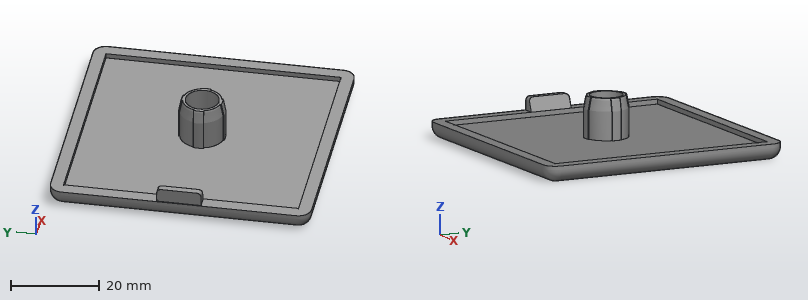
import cadquery as cq

side = 60.0
edge_radius = 3.0
straight_rim_height = 0.95
plate_height = edge_radius + straight_rim_height

border_width = 3.0
recess_depth = 1.15
recess_side = side - 2 * border_width
floor_z = plate_height - recess_depth

total_height = 12.5
peg_radius = 5.1
bore_radius = 3.85
taper_height = 3.0
taper_inset = 0.5
lip_height = 0.5
lip_inset = 0.2
rib_projection = 0.25
rib_width = 2.35

clip_width = 10.2
clip_height = 3.25
clip_inset = 0.25
clip_base_depth = border_width - clip_inset
clip_top_depth = 1.55
clip_corner_radius = 1.0


def make_plate():
    """Plate with rounded corners and lower edges, recessed on top."""
    plate = cq.Workplane("XY").box(side, side, plate_height, centered=(True, True, False))
    plate = plate.edges("|Z or <Z").fillet(edge_radius)
    recess = (
        cq.Workplane("XY", origin=(0, 0, floor_z))
        .rect(recess_side, recess_side)
        .extrude(recess_depth)
    )
    return plate.cut(recess)


def make_tube(outer_radius):
    """Tube standing on the recess floor, tapering towards a bevelled lip."""
    shoulder_radius = outer_radius - taper_inset
    return (
        cq.Workplane("XZ")
        .moveTo(bore_radius, floor_z)
        .lineTo(outer_radius, floor_z)
        .lineTo(outer_radius, total_height - taper_height)
        .lineTo(shoulder_radius, total_height - lip_height)
        .lineTo(shoulder_radius - lip_inset, total_height)
        .lineTo(bore_radius, total_height)
        .close()
        .revolve(360, (0, 0, 0), (0, 1, 0))
    )


def make_peg():
    """Tube with ribs: strips of a larger tube kept along both axes."""
    rib_radius = peg_radius + rib_projection
    rib_strips = (
        cq.Workplane("XY")
        .rect(2 * rib_radius, rib_width)
        .extrude(total_height)
        .union(cq.Workplane("XY").rect(rib_width, 2 * rib_radius).extrude(total_height))
    )
    ribs = make_tube(rib_radius).intersect(rib_strips)
    return make_tube(peg_radius).union(ribs)


def make_clip():
    """Upright clip with a sloping inner face and two rounded upper corners."""
    outer_x = -side / 2 + clip_inset
    top_z = plate_height + clip_height
    wedge = (
        cq.Workplane("XZ")
        .moveTo(outer_x, plate_height)
        .lineTo(outer_x + clip_base_depth, plate_height)
        .lineTo(outer_x + clip_top_depth, top_z)
        .lineTo(outer_x, top_z)
        .close()
        .extrude(clip_width / 2, both=True)
    )
    rounded_blank = (
        cq.Workplane("YZ", origin=(outer_x, 0, plate_height + clip_height / 2))
        .rect(clip_width, clip_height)
        .extrude(clip_base_depth)
        .edges("|X and >Z")
        .fillet(clip_corner_radius)
    )
    return wedge.intersect(rounded_blank)


peg = make_peg()
clip = make_clip()
result = make_plate().union(peg).union(clip)